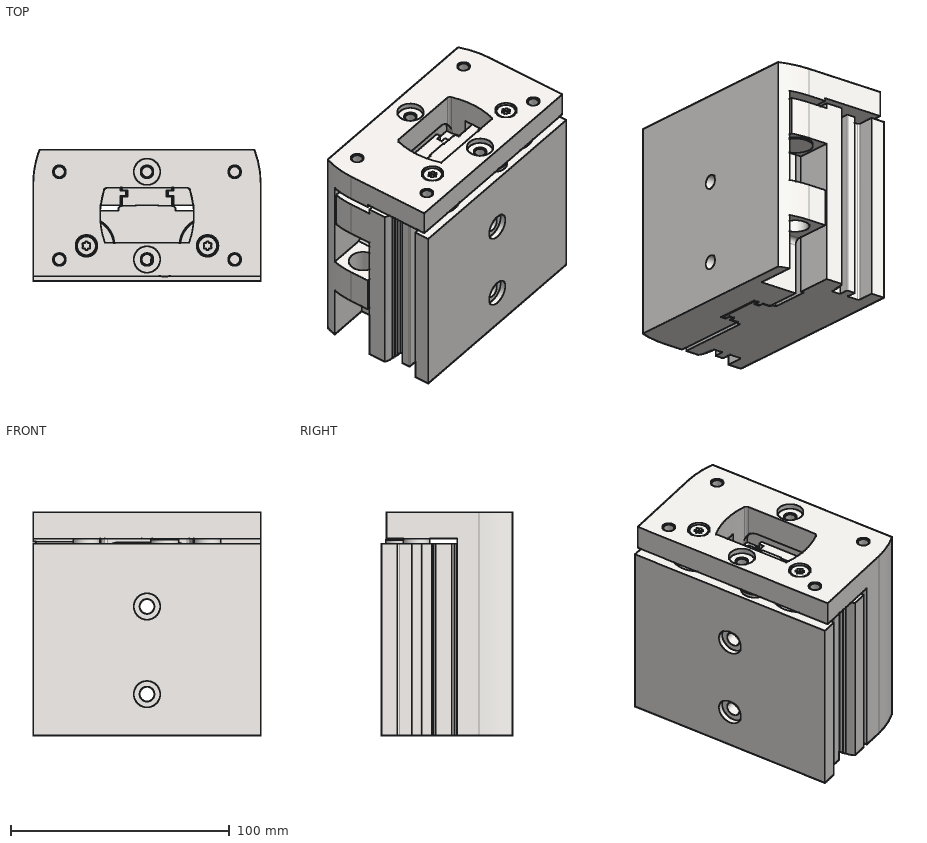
import cadquery as cq
import math

WIDTH = 104.0
DEPTH = 60.0
HEIGHT = 102.0
HALF_WIDTH = WIDTH / 2
JOIN_Y = 34.6
THROUGH = 2 * WIDTH

CORNER_START_Y = 44.4
CORNER_INSET = 2.9
CORNER_RUN = DEPTH - CORNER_START_Y
CORNER_RADIUS = (CORNER_RUN**2 + CORNER_INSET**2) / (2 * CORNER_INSET)

MOUNT_HOLE_DIA = 6.7
COUNTERBORE_DIA = 12.1
COUNTERBORE_DEPTH = 2.7
HOLE_PITCH = 40.0
LOWER_MOUNT_Z = 18.9
MOUNT_HOLES_Z = (LOWER_MOUNT_Z, LOWER_MOUNT_Z + HOLE_PITCH)

PLATE_FRONT_Y = 2.3
PLATE_BOTTOM_Z = 90.0
BACK_PLATE_FRONT_Y = 54.6
TAP_DIA = 4.9
TAP_CHAMFER = 0.5
BLIND_TAP_DEPTH = 10.4
FRONT_TAP_Y = 9.9

WINDOW_FRONT_Y = 17.5
WINDOW_BACK_Y = 42.6
WINDOW_HALF_END = 19.2
WINDOW_HALF_MIDDLE = 21.4
WINDOW_FILLET = 1.6

POCKET_END_X = -30.5
UPPER_POCKET_TOP_Z = 88.6
RIB_TOP_Z = 44.1
RIB_BOTTOM_Z = 26.6
POCKET_FILLET = 2.5
RIB_CHAMFER = 2.3
STOP_X = -42.6
STOP_Y = 44.6
STOP_HOLE_DIA = 12.9
STOP_PAD_DIA = 16.0
STOP_PAD_HEIGHT = 0.8

RAIL_HALF_WIDTH = 11.4
RAIL_BACK_Y = 43.5
RAIL_TOP_Z = 84.2
RAIL_GROOVE_DEPTH = 2.5
RAIL_GROOVE_Y = (38.7, 41.4)
RAIL_CLEARANCE = 0.6
CHANNEL_HALF_WIDTH = RAIL_HALF_WIDTH + RAIL_CLEARANCE
TONGUE_Y = (38.8, 41.3)
CHANNEL_BACK_Y = RAIL_BACK_Y + RAIL_CLEARANCE
END_POCKET_HALF_WIDTH = 19.8
END_POCKET_BOTTOM_Z = 80.1
END_POCKET_TOP_Z = 88.3
END_POCKET_FILLET = 6.8

ROD_DIA = 12.1
ROD_X = 27.7
ROD_Y = 16.1
SCREW_SEAT_DIA = 10.0
SCREW_SEAT_DEPTH = 2.1
SCREW_HEAD_DIA = 9.0
SCREW_HEAD_CHAMFER = 0.26
SCREW_HEAD_RISE = 1.5
SOCKET_DIA = 4.1
SOCKET_LOBE_DIA = 1.1
SOCKET_LOBES = 6
SOCKET_DEPTH = 1.7

HOUSING_TOP_Z = 87.7
HOUSING_BACK_Y = 32.2
FRONT_PLATE_BACK_Y = 7.4
SIDE_RIB_Y = (13.8, 18.4)
SIDE_RIB_HALF = 47.8
SIDE_RIB_CORNER = 0.4
GROOVE_HALF = 42.6
GROOVE_ROOT_FILLET = 0.8
REAR_BLOCK_FRONT_Y = 23.7
REAR_STEP = 0.2
REAR_STEP_HALVES = (47.8, 46.4, 44.7)
SIDE_CURVE_Y = 25.0
SIDE_CURVE_HALF = 48.0
PAD_HALF_WIDTH = 13.1
PAD_CHAMFER = 0.9
PAD_BACK_Y = 34.3
KEY_HALF_WIDTH = 5.2
KEY_BACK_Y = 34.7
ARM_BOTTOM_Z = 67.5
ARM_TOP_Z = 85.2
ARM_BACK_Y = 53.7
ARM_END_X = -33.3
ARM_ROOT_Y = 33.8
ROD_RECESS_DIA = 25.0
ROD_RECESS_DEPTH = 2.1
ROD_RECESS_CHAMFER = 0.4
ROD_BOTTOM_Z = HOUSING_TOP_Z - ROD_RECESS_DEPTH
BUTTON_DIA = 12.9
BUTTON_X = 8.1
BUTTON_Y = 8.4
BUTTON_TOP_Z = 89.4


def box(x_range, y_range, z_range):
    """Box spanning the given low and high values along each axis."""
    size = [high - low for low, high in (x_range, y_range, z_range)]
    corner = (x_range[0], y_range[0], z_range[0])
    return cq.Workplane("XY").box(*size, centered=False).translate(corner)


def cylinder(diameter, x, y, z_range):
    """Upright cylinder between two heights."""
    bottom, top = z_range
    return cq.Workplane("XY").workplane(offset=bottom).center(x, y).circle(diameter / 2).extrude(top - bottom)


def corner_inset(y):
    """How far the rounded back corner lies inside the full width at y."""
    run = y - CORNER_START_Y
    return CORNER_RADIUS - math.sqrt(CORNER_RADIUS**2 - run**2)


def rounded_outline(front_y, z_range):
    """Block from front_y to the back face with both back corners curved inward."""
    bottom, top = z_range
    end_x = HALF_WIDTH - CORNER_INSET
    middle_y = (CORNER_START_Y + DEPTH) / 2
    middle_x = HALF_WIDTH - corner_inset(middle_y)
    return (
        cq.Workplane("XY")
        .workplane(offset=bottom)
        .moveTo(-HALF_WIDTH, front_y)
        .lineTo(HALF_WIDTH, front_y)
        .lineTo(HALF_WIDTH, CORNER_START_Y)
        .threePointArc((middle_x, middle_y), (end_x, DEPTH))
        .lineTo(-end_x, DEPTH)
        .threePointArc((-middle_x, middle_y), (-HALF_WIDTH, CORNER_START_Y))
        .close()
        .extrude(top - bottom)
    )


def mount_hole_cutters(y_start):
    """The two through holes along Y, starting at y_start."""
    holes = cq.Workplane("XZ", origin=(0, y_start, 0)).pushPoints([(0, z) for z in MOUNT_HOLES_Z])
    return holes.circle(MOUNT_HOLE_DIA / 2).extrude(-THROUGH)


def plate_window():
    middle_y = (WINDOW_FRONT_Y + WINDOW_BACK_Y) / 2
    return (
        cq.Workplane("XY")
        .workplane(offset=END_POCKET_BOTTOM_Z)
        .moveTo(-WINDOW_HALF_END, WINDOW_FRONT_Y)
        .lineTo(WINDOW_HALF_END, WINDOW_FRONT_Y)
        .threePointArc((WINDOW_HALF_MIDDLE, middle_y), (WINDOW_HALF_END, WINDOW_BACK_Y))
        .lineTo(-WINDOW_HALF_END, WINDOW_BACK_Y)
        .threePointArc((-WINDOW_HALF_MIDDLE, middle_y), (-WINDOW_HALF_END, WINDOW_FRONT_Y))
        .close()
        .extrude(HEIGHT - END_POCKET_BOTTOM_Z)
        .edges("|Z and >Y")
        .fillet(WINDOW_FILLET)
    )


def side_pockets():
    """Upper and lower pockets open to the left, with the stop rib left between them."""
    x_range = (-HALF_WIDTH, POCKET_END_X)
    y_range = (JOIN_Y, BACK_PLATE_FRONT_Y)
    upper = box(x_range, y_range, (RIB_TOP_Z, UPPER_POCKET_TOP_Z))
    upper = upper.edges("|Y and >X and >Z").fillet(POCKET_FILLET)
    upper = upper.edges("|Y and >X and <Z").chamfer(RIB_CHAMFER)
    lower = box(x_range, y_range, (0, RIB_BOTTOM_Z)).edges("|Y and >X and >Z").fillet(POCKET_FILLET)
    return upper.union(lower)


def rail_channel():
    """Channel around the rail, widened above the rail's end, with tongues left in it."""
    channel = box((-CHANNEL_HALF_WIDTH, CHANNEL_HALF_WIDTH), (JOIN_Y, CHANNEL_BACK_Y), (0, RAIL_TOP_Z))
    tongue_tip = CHANNEL_HALF_WIDTH - RAIL_GROOVE_DEPTH
    for side in (-1, 1):
        x_range = sorted((side * tongue_tip, side * CHANNEL_HALF_WIDTH))
        channel = channel.cut(box(x_range, TONGUE_Y, (0, END_POCKET_BOTTOM_Z)))
    end_pocket = box(
        (-END_POCKET_HALF_WIDTH, END_POCKET_HALF_WIDTH),
        (JOIN_Y, CHANNEL_BACK_Y),
        (END_POCKET_BOTTOM_Z, END_POCKET_TOP_Z),
    )
    return channel.union(end_pocket.edges("|Y and >Z").fillet(END_POCKET_FILLET))


def tap_cutters():
    """Four blind tapped holes, and two counterbored ones through the plate on the centre line."""
    cutters = cq.Workplane("XY")
    mouth_radius = TAP_DIA / 2 + TAP_CHAMFER
    for x in (-HOLE_PITCH, 0, HOLE_PITCH):
        on_centre = x == 0
        mouth_z = HEIGHT - COUNTERBORE_DEPTH if on_centre else HEIGHT
        bottom_z = PLATE_BOTTOM_Z if on_centre else HEIGHT - BLIND_TAP_DEPTH
        for y in (FRONT_TAP_Y, FRONT_TAP_Y + HOLE_PITCH):
            bore = cylinder(TAP_DIA, x, y, (bottom_z, mouth_z))
            cone = cq.Solid.makeCone(
                mouth_radius, TAP_DIA / 2, TAP_CHAMFER, cq.Vector(x, y, mouth_z), cq.Vector(0, 0, -1)
            )
            cutters = cutters.add(bore.union(cq.Workplane(cone)))
            if on_centre:
                cutters = cutters.add(cylinder(COUNTERBORE_DIA, x, y, (mouth_z, HEIGHT)))
    return cutters.combine()


def screw_seat(x):
    """Ring-shaped gap around a screw head, together with its six-lobed socket."""
    seat_z = HEIGHT - SCREW_SEAT_DEPTH
    head_z = seat_z + SCREW_HEAD_RISE
    seat = cylinder(SCREW_SEAT_DIA, x, ROD_Y, (seat_z, HEIGHT))
    head = cylinder(SCREW_HEAD_DIA, x, ROD_Y, (seat_z, head_z)).faces(">Z").chamfer(SCREW_HEAD_CHAMFER)
    seat = seat.cut(head)
    socket_z = (head_z - SOCKET_DEPTH, head_z)
    seat = seat.union(cylinder(SOCKET_DIA - SOCKET_LOBE_DIA, x, ROD_Y, socket_z))
    lobe_radius = (SOCKET_DIA - SOCKET_LOBE_DIA) / 2
    for lobe in range(SOCKET_LOBES):
        angle = math.radians(90 + lobe * 360 / SOCKET_LOBES)
        lobe_x = x + lobe_radius * math.cos(angle)
        lobe_y = ROD_Y + lobe_radius * math.sin(angle)
        seat = seat.union(cylinder(SOCKET_LOBE_DIA, lobe_x, lobe_y, socket_z))
    return seat


def make_carriage():
    body = rounded_outline(PLATE_FRONT_Y, (PLATE_BOTTOM_Z, HEIGHT))
    body = body.union(rounded_outline(JOIN_Y, (0, PLATE_BOTTOM_Z)))
    body = body.cut(side_pockets()).cut(rail_channel()).cut(plate_window())
    body = body.cut(cylinder(STOP_HOLE_DIA, STOP_X, STOP_Y, (RIB_BOTTOM_Z, RIB_TOP_Z)))
    for x in (-ROD_X, ROD_X):
        body = body.union(cylinder(ROD_DIA, x, ROD_Y, (ROD_BOTTOM_Z, PLATE_BOTTOM_Z)))
        body = body.cut(screw_seat(x))
    return body.cut(tap_cutters()).cut(mount_hole_cutters(JOIN_Y))


def housing_profile():
    """Front plate, grooved sides and rear block, extruded to full height."""
    plate = box((-HALF_WIDTH, HALF_WIDTH), (0, FRONT_PLATE_BACK_Y), (0, HOUSING_TOP_Z))
    core = box((-GROOVE_HALF, GROOVE_HALF), (FRONT_PLATE_BACK_Y, REAR_BLOCK_FRONT_Y), (0, HOUSING_TOP_Z))
    body = plate.union(core)
    groove_roots = cq.selectors.BoxSelector(
        (-SIDE_RIB_HALF, 0, 0),
        (SIDE_RIB_HALF, SIDE_RIB_Y[0], HOUSING_TOP_Z),
    )
    body = body.edges("|Z").edges(groove_roots).fillet(GROOVE_ROOT_FILLET)
    rib = box((-SIDE_RIB_HALF, SIDE_RIB_HALF), SIDE_RIB_Y, (0, HOUSING_TOP_Z))
    rib = rib.edges("|Z").fillet(SIDE_RIB_CORNER)
    curve_run = HALF_WIDTH - SIDE_CURVE_HALF
    curve_rise = SIDE_CURVE_Y - REAR_BLOCK_FRONT_Y
    curve_radius = (curve_run**2 + curve_rise**2) / (2 * curve_rise)
    half_run = curve_run / 2
    half_rise = curve_radius - math.sqrt(curve_radius**2 - half_run**2)
    curve_middle = (SIDE_CURVE_HALF + half_run, REAR_BLOCK_FRONT_Y + half_rise)
    rear = (
        cq.Workplane("XY")
        .moveTo(-SIDE_CURVE_HALF, REAR_BLOCK_FRONT_Y)
        .lineTo(SIDE_CURVE_HALF, REAR_BLOCK_FRONT_Y)
        .threePointArc(curve_middle, (HALF_WIDTH, SIDE_CURVE_Y))
        .lineTo(HALF_WIDTH, HOUSING_BACK_Y)
        .lineTo(-HALF_WIDTH, HOUSING_BACK_Y)
        .lineTo(-HALF_WIDTH, SIDE_CURVE_Y)
        .threePointArc((-curve_middle[0], curve_middle[1]), (-SIDE_CURVE_HALF, REAR_BLOCK_FRONT_Y))
        .close()
        .extrude(HOUSING_TOP_Z)
    )
    body = body.union(rib).union(rear)
    for count, half_width in enumerate(REAR_STEP_HALVES, start=1):
        step_front_y = REAR_BLOCK_FRONT_Y - count * REAR_STEP
        body = body.union(
            box((-half_width, half_width), (step_front_y, REAR_BLOCK_FRONT_Y), (0, HOUSING_TOP_Z))
        )
    return body


def guide_rail():
    """Chamfered pad with its key, and the side-grooved rail standing on it."""
    pad = box((-PAD_HALF_WIDTH, PAD_HALF_WIDTH), (HOUSING_BACK_Y, PAD_BACK_Y), (0, HOUSING_TOP_Z))
    pad = pad.edges("|Z and >Y").chamfer(PAD_CHAMFER)
    key = box((-KEY_HALF_WIDTH, KEY_HALF_WIDTH), (PAD_BACK_Y, KEY_BACK_Y), (0, HOUSING_TOP_Z))
    rail = box((-RAIL_HALF_WIDTH, RAIL_HALF_WIDTH), (PAD_BACK_Y, RAIL_BACK_Y), (0, RAIL_TOP_Z))
    groove_floor = RAIL_HALF_WIDTH - RAIL_GROOVE_DEPTH
    for side in (-1, 1):
        x_range = sorted((side * groove_floor, side * RAIL_HALF_WIDTH))
        rail = rail.cut(box(x_range, RAIL_GROOVE_Y, (0, RAIL_TOP_Z)))
    return pad.union(key).union(rail)


def stop_arm():
    """Arm reaching into the upper pocket, with a round stop pad underneath."""
    outline = rounded_outline(HOUSING_BACK_Y, (ARM_BOTTOM_Z, ARM_TOP_Z))
    limits = box((-HALF_WIDTH, ARM_END_X), (HOUSING_BACK_Y, ARM_BACK_Y), (ARM_BOTTOM_Z, ARM_TOP_Z))
    arm = outline.intersect(limits)
    root = box((-HALF_WIDTH, ARM_END_X), (HOUSING_BACK_Y, ARM_ROOT_Y), (0, HOUSING_TOP_Z))
    pad = cylinder(STOP_PAD_DIA, STOP_X, STOP_Y, (ARM_BOTTOM_Z - STOP_PAD_HEIGHT, ARM_BOTTOM_Z))
    return arm.union(root).union(pad)


def rod_recess(x):
    """Shallow round recess with a chamfered rim below a lifting rod."""
    recess = cylinder(ROD_RECESS_DIA, x, ROD_Y, (ROD_BOTTOM_Z, HOUSING_TOP_Z))
    rim = cq.Solid.makeCone(
        ROD_RECESS_DIA / 2 + ROD_RECESS_CHAMFER,
        ROD_RECESS_DIA / 2,
        ROD_RECESS_CHAMFER,
        cq.Vector(x, ROD_Y, HOUSING_TOP_Z),
        cq.Vector(0, 0, -1),
    )
    return recess.union(cq.Workplane(rim))


def make_housing():
    body = housing_profile().union(guide_rail()).union(stop_arm())
    for x in (-ROD_X, ROD_X):
        body = body.cut(rod_recess(x))
    body = body.union(cylinder(BUTTON_DIA, BUTTON_X, BUTTON_Y, (HOUSING_TOP_Z, BUTTON_TOP_Z)))
    counterbores = cq.Workplane("XZ").pushPoints([(0, z) for z in MOUNT_HOLES_Z])
    body = body.cut(counterbores.circle(COUNTERBORE_DIA / 2).extrude(-COUNTERBORE_DEPTH))
    return body.cut(mount_hole_cutters(0))


carriage = make_carriage()
housing = make_housing()
result = cq.Compound.makeCompound([carriage.solids().val(), housing.solids().val()])